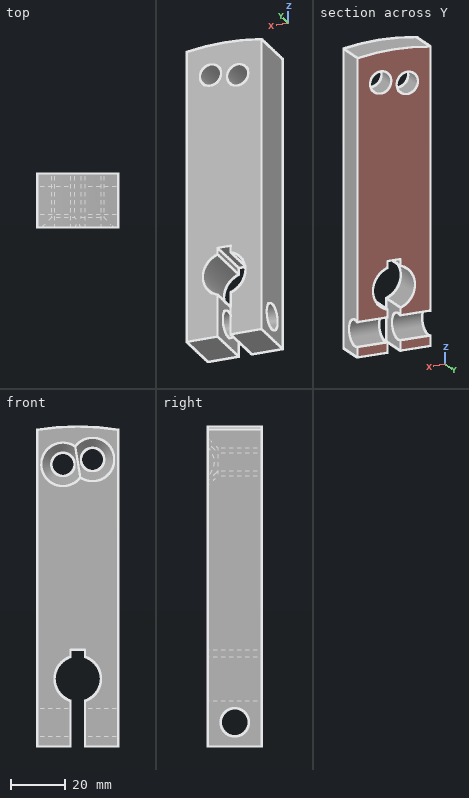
import cadquery as cq
import math

width = 30.0
thickness = 20.0
height = 118.0

bore_diameter = 17.0
bore_height = 25.0
slit_width = 5.2
keyway_rise = 10.7
keyway_top_height = bore_height + keyway_rise

clamp_hole_diameter = 10.3
clamp_hole_height = 9.0

screw_hole_diameter = 8.5
countersink_diameter = 16.0
countersink_angle = 90.0
screw_offset = 5.45
left_screw_height = 104.0
right_screw_height = 105.8

crown_radius = height - bore_height
shoulder_height = bore_height + math.sqrt(crown_radius**2 - (width / 2) ** 2)
front_face = -thickness / 2


def make_body():
    """Flat bar with a crowned top, extruded evenly about the XZ plane."""
    return (
        cq.Workplane("XZ")
        .moveTo(-width / 2, 0)
        .lineTo(width / 2, 0)
        .lineTo(width / 2, shoulder_height)
        .threePointArc((0, height), (-width / 2, shoulder_height))
        .close()
        .extrude(thickness / 2, both=True)
    )


def cut_shaft_clamp(body):
    """Cut the bore and the slot that forms both the keyway and the slit."""
    bore = (
        cq.Workplane("XZ")
        .center(0, bore_height)
        .circle(bore_diameter / 2)
        .extrude(thickness / 2, both=True)
    )
    slot = cq.Workplane("XY").rect(slit_width, thickness).extrude(keyway_top_height)
    return body.cut(bore).cut(slot)


def cut_clamp_hole(body):
    """Cut the clamping screw hole across both legs."""
    hole = (
        cq.Workplane("YZ")
        .center(0, clamp_hole_height)
        .circle(clamp_hole_diameter / 2)
        .extrude(width / 2, both=True)
    )
    return body.cut(hole)


def cut_screw_hole(body, x, z):
    """Cut a through hole with its countersink on the -Y face."""
    radius = screw_hole_diameter / 2
    sink_radius = countersink_diameter / 2
    sink_depth = (sink_radius - radius) / math.tan(math.radians(countersink_angle / 2))
    face_center = cq.Vector(x, front_face, z)
    inward = cq.Vector(0, 1, 0)
    hole = cq.Solid.makeCylinder(radius, thickness, face_center, inward)
    sink = cq.Solid.makeCone(sink_radius, radius, sink_depth, face_center, inward)
    return body.cut(cq.Workplane(obj=hole)).cut(cq.Workplane(obj=sink))


result = make_body()
result = cut_shaft_clamp(result)
result = cut_clamp_hole(result)
for screw_x, screw_z in ((-screw_offset, left_screw_height), (screw_offset, right_screw_height)):
    result = cut_screw_hole(result, screw_x, screw_z)